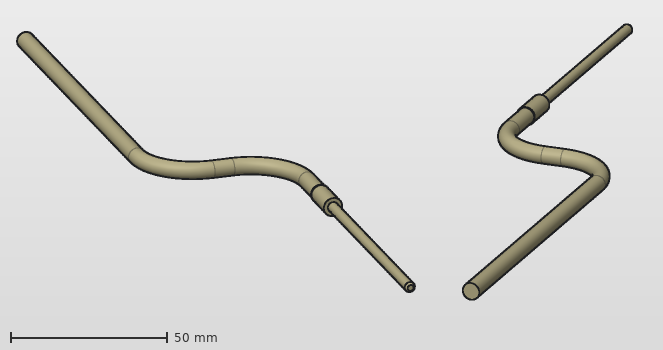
import cadquery as cq

length = 249.0
width = 50.5

tube_diameter = 5.7
sleeve_diameter = 6.2
rod_diameter = 3.5
tip_chamfer = 0.7

first_bend_start = 109.3
bend_radius = 19.0
sleeve_start = 160.2
sleeve_length = 12.7
sleeve_end = sleeve_start + sleeve_length

offset = width - (tube_diameter + sleeve_diameter) / 2
bend_x = first_bend_start + bend_radius
second_bend_end = bend_x + bend_radius


def cylinder_along_x(start, end, diameter):
    """Round bar on the sleeve axis, between two X positions."""
    return (
        cq.Workplane("YZ", origin=(start, offset, 0))
        .circle(diameter / 2)
        .extrude(end - start)
    )


tube_path = (
    cq.Workplane("XY")
    .lineTo(first_bend_start, 0)
    .tangentArcPoint((bend_x, bend_radius), relative=False)
    .lineTo(bend_x, offset - bend_radius)
    .tangentArcPoint((second_bend_end, offset), relative=False)
    .lineTo(sleeve_start, offset)
)
tube = cq.Workplane("YZ").circle(tube_diameter / 2).sweep(tube_path)

sleeve = cylinder_along_x(sleeve_start, sleeve_end, sleeve_diameter)
rod = cylinder_along_x(sleeve_end, length, rod_diameter).faces(">X").chamfer(tip_chamfer)

result = tube.union(sleeve).union(rod)